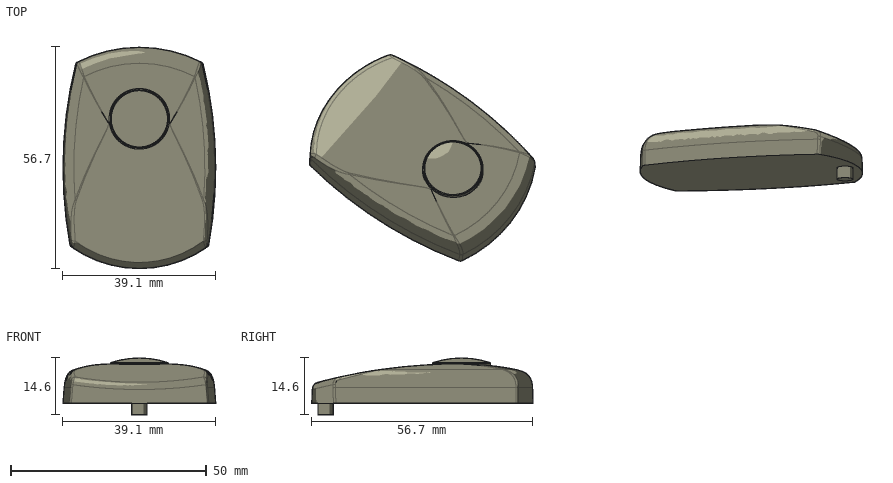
import cadquery as cq
import math


width = 39.13
length = 56.66
side_radius = 110.0
back_radius = 35.0
front_radius = 30.0
back_y = 18.32
front_y = back_y - length
side_arc_y = -12.5

wall_height = 4.0
shoulder_height = 8.6
ridge_y = -1.37
ridge_height = 10.05
blank_height = 14.0

side_lean = 0.3
back_lean = 0.1
front_draft = math.radians(2.0)

crown_clearance = 0.005
crown_top = ridge_height + crown_clearance
side_shoulder_inset = 2.8
side_crown_radius = 27.0
back_shoulder_inset = 4.1
back_crown_radius = 71.0

top_radius = 136.0
front_rounding = 2.0
edge_rounding = 1.0

seam_min_climb = 0.5

button_diameter = 14.9
button_chamfer = 0.25
button_top = 11.6
button_rim_height = 10.2
recess_diameter = 15.5
recess_floor = 8.6

pin_diameter = 4.0
pin_length = 3.0
pin_inset = 3.6


def crowned_wall(radius, lean, shoulder_inset, crown_radius):
    """Solid of revolution about Z: leaning wall, rounded shoulder and crown, its base at `radius`."""
    rise = crown_top - shoulder_height
    run = math.sqrt(2 * crown_radius * rise - rise**2)
    shoulder_angle = math.asin(run / crown_radius)
    half_angle = shoulder_angle / 2
    crown_r = radius - shoulder_inset - run
    mid_point = (
        crown_r + crown_radius * math.sin(half_angle),
        crown_top - crown_radius * (1 - math.cos(half_angle)),
    )
    wall_top = (radius - lean, wall_height)
    shoulder = (radius - shoulder_inset, shoulder_height)
    wall_direction = (-lean, wall_height)
    crown_direction = (-math.cos(shoulder_angle), math.sin(shoulder_angle))
    return (
        cq.Workplane("XZ")
        .moveTo(0, 0)
        .lineTo(radius, 0)
        .lineTo(*wall_top)
        .spline([shoulder], tangents=[wall_direction, crown_direction], includeCurrent=True)
        .threePointArc(mid_point, (crown_r, crown_top))
        .lineTo(0, crown_top)
        .close()
        .revolve(360, (0, 0, 0), (0, 1, 0))
    )


def side_wall(side):
    """Wall of the left (-1) or right (+1) side, swept about its far-off arc centre."""
    centre_x = side * (width / 2 - side_radius)
    wall = crowned_wall(side_radius, side_lean, side_shoulder_inset, side_crown_radius)
    return wall.translate((centre_x, side_arc_y, 0))


def back_wall():
    """Wall of the back end, swept about its arc centre."""
    wall = crowned_wall(back_radius, back_lean, back_shoulder_inset, back_crown_radius)
    return wall.translate((0, back_y - back_radius, 0))


def front_wall():
    """Drafted cone whose arc bounds the front end."""
    top_r = front_radius - blank_height * math.tan(front_draft)
    cone = cq.Solid.makeCone(front_radius, top_r, blank_height)
    return cq.Workplane(cone).translate((0, front_y + front_radius, 0))


def top_slope():
    """Cylinder along X, level at the ridge and falling toward the front."""
    return (
        cq.Workplane("YZ")
        .center(ridge_y, ridge_height - top_radius)
        .circle(top_radius)
        .extrude(width, both=True)
    )


def climbs(edge):
    """True for the seams between two walls or two crowns; the other edges end at the height they start."""
    return abs(edge.startPoint().z - edge.endPoint().z) > seam_min_climb


def make_housing():
    """Block bounded by all walls and the top slope, with rounded seams and a recess for the button."""
    body = back_wall()
    for bound in (side_wall(-1), side_wall(1), front_wall(), top_slope()):
        body = body.intersect(bound)

    front_rim_box = cq.selectors.BoxSelector(
        (-front_rounding, front_y, wall_height),
        (front_rounding, front_y + front_rounding, shoulder_height),
    )
    body = body.edges(front_rim_box).fillet(front_rounding)
    seams = [edge for edge in body.edges().vals() if climbs(edge)]
    body = body.newObject(seams).fillet(edge_rounding)

    recess = (
        cq.Workplane("XY")
        .workplane(offset=recess_floor)
        .circle(recess_diameter / 2)
        .extrude(blank_height - recess_floor)
    )
    return body.cut(recess).solids()


def make_button():
    """Domed disc standing on the recess floor, with a small chamfer between its side and the dome."""
    rim_r = button_diameter / 2
    dome_r = rim_r - button_chamfer
    dome_base = button_rim_height + button_chamfer
    rise = button_top - dome_base
    sphere_r = (dome_r**2 + rise**2) / (2 * rise)
    half_angle = math.asin(dome_r / sphere_r) / 2
    dome_mid = (
        sphere_r * math.sin(half_angle),
        button_top - sphere_r * (1 - math.cos(half_angle)),
    )
    return (
        cq.Workplane("XZ")
        .moveTo(0, recess_floor)
        .lineTo(rim_r, recess_floor)
        .lineTo(rim_r, button_rim_height)
        .lineTo(dome_r, dome_base)
        .threePointArc(dome_mid, (0, button_top))
        .close()
        .revolve(360, (0, 0, 0), (0, 1, 0))
    )


def make_pin():
    """Round pin that hangs from the underside of the housing."""
    return (
        cq.Workplane("XY")
        .center(0, front_y + pin_inset)
        .circle(pin_diameter / 2)
        .extrude(-pin_length)
    )


housing = make_housing()
button = make_button()
pin = make_pin()
result = cq.Compound.makeCompound([housing.val(), button.val(), pin.val()])